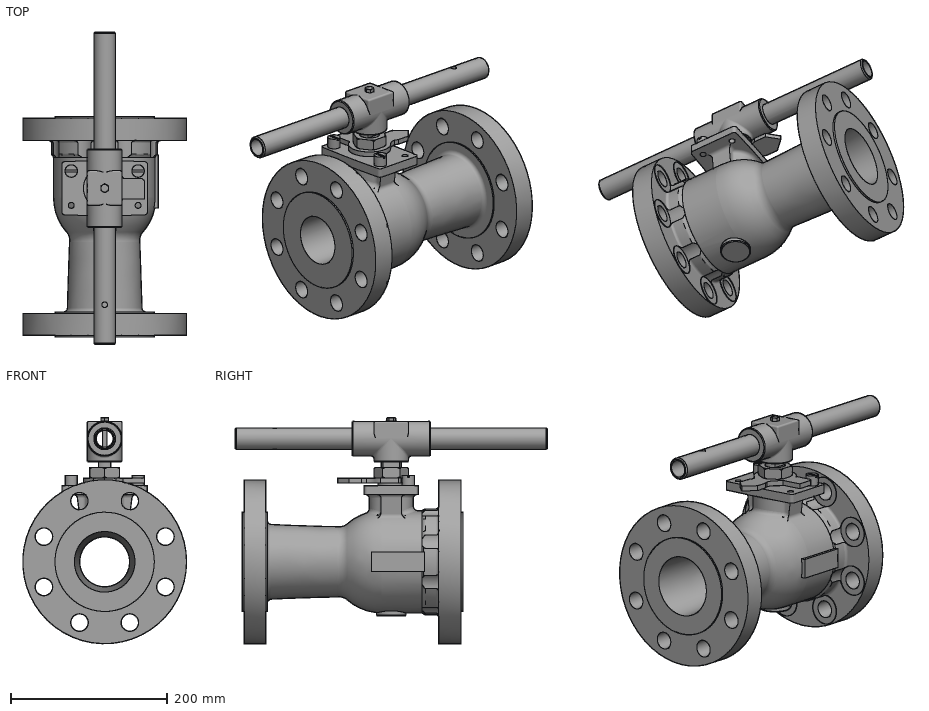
import cadquery as cq
import math


selection_margin = 0.5

flange_radius = 210.0 / 2
raised_face_radius = 127.0 / 2
back_face_y = 92.0
back_flange_outer_y = 89.5
back_flange_inner_y = 61.0
front_face_y = -191.0
front_flange_outer_y = -188.5
front_flange_inner_y = -160.5
front_hub_face_y = -158.5
bolt_count = 8
bolt_circle_radius = 168.5 / 2
bolt_hole_diameter = 22.0
spotface_diameter = 38.5
spotface_depth = 1.0
port_diameter = 63.5
front_bore_diameter = 77.5
bore_taper_end_y = -56.0

shell_radius = 65.5
shell_front_y = -12.5
collar_radius = 68.0
collar_root_fillet = 3.0
collar_round_start_y = 44.0
collar_round_end = (67.0, 41.5)
collar_end_y = 39.0
ball_end_y = -56.0
throat_radius = 45.0
throat_y = -69.0
pipe_end_radius = 48.0
pipe_root_fillet = 5.0
side_pad_x = 69.0
side_pad_half_height = 12.5
side_pad_back_y = 43.0
side_pad_front_y = -25.5
bottom_boss_diameter = 38.5
bottom_boss_z = -69.0
bottom_boss_chamfer = 1.0

neck_radius = 28.5
neck_top_fillet = 5.0
neck_root_fillet = 5.5
plate_bottom_z = 86.0
plate_top_z = 97.5
plate_length = 109.5
plate_width = 68.0
plate_corner_radius = 4.0
plate_bow = 1.0
rib_top_half_length = 35.5
rib_bottom_half_length = 31.0
rib_bottom_z = 52.0
rib_width = 26.0
rib_fillet = 5.0
rib_root_top_z = 68.0
packing_boss_diameter = 34.0
stop_plate_bottom_z = 101.0
screw_x = 43.0
screw_y = 22.0
mount_hole_diameter = 7.5

stem_diameter = 26.0
stem_flat_width = 16.0
stem_top_z = 136.0
stop_plate_top_z = 107.0
stop_disc_radius = 27.0
nut_top_z = 121.0
nut_across_flats = 38.5
nut_chamfer = 1.5
screw_head_diameter = 16.0
screw_head_top_z = 111.0
slot_width = 2.5
slot_depth = 2.5

handle_z = 157.5
hub_diameter = 45.0
hub_length = 100.0
hub_bottom_z = 128.0
hub_chamfer = 1.0
hub_block_round = 2.5
hub_crotch_fillet = 3.0
ridge_half_width = 1.5
bar_length = 400.0
bar_diameter = 28.0
bar_bore_diameter = 21.5
bar_chamfer = 1.5
bar_pin_hole_diameter = 7.0
bar_pin_hole_y = -149.0
bolt_shank_diameter = 6.0
bolt_head_flats = 10.0
bolt_head_chamfer = 1.0
overall_height = 289.5
bolt_head_top_z = overall_height - flange_radius


def cylinder_z(diameter, bottom, top, x=0, y=0):
    return cq.Workplane("XY", origin=(x, y, bottom)).circle(diameter / 2).extrude(top - bottom)


def cylinder_y(diameter, front, back, x=0, z=0):
    return cq.Workplane("XZ", origin=(x, front, z)).circle(diameter / 2).extrude(front - back)


def box_z(length, width, bottom, top):
    return cq.Workplane("XY", origin=(0, 0, bottom)).rect(length, width).extrude(top - bottom)


def hexagon_z(across_flats, bottom, top, chamfered_ends, chamfer):
    """Hexagonal prism with two corners on the Y axis and its corners bevelled at the given ends."""
    across_corners = across_flats / math.cos(math.pi / 6)
    prism = cq.Workplane("XY").polygon(6, across_corners).extrude(top - bottom)
    prism = prism.rotate((0, 0, 0), (0, 0, 1), 30).translate((0, 0, bottom))
    bevelled_round = cylinder_z(across_corners, bottom, top).faces(chamfered_ends).chamfer(chamfer)
    return prism.intersect(bevelled_round)


def make_shell():
    ball_reach = shell_front_y - ball_end_y
    ball_end_radius = math.sqrt(shell_radius**2 - ball_reach**2)
    ball_half_angle = math.asin(ball_reach / shell_radius) / 2
    ball_mid = shell_radius * math.cos(ball_half_angle)
    ball_mid_y = shell_front_y - shell_radius * math.sin(ball_half_angle)
    return (
        cq.Workplane("XY")
        .moveTo(0, back_face_y)
        .lineTo(raised_face_radius, back_face_y)
        .lineTo(raised_face_radius, back_flange_outer_y)
        .lineTo(flange_radius, back_flange_outer_y)
        .lineTo(flange_radius, back_flange_inner_y)
        .lineTo(collar_radius + collar_root_fillet, back_flange_inner_y)
        .tangentArcPoint((collar_radius, back_flange_inner_y - collar_root_fillet), relative=False)
        .lineTo(collar_radius, collar_round_start_y)
        .tangentArcPoint(collar_round_end, relative=False)
        .lineTo(shell_radius, collar_end_y)
        .lineTo(shell_radius, shell_front_y)
        .threePointArc((ball_mid, ball_mid_y), (ball_end_radius, ball_end_y))
        .tangentArcPoint((throat_radius, throat_y), relative=False)
        .lineTo(pipe_end_radius, front_hub_face_y + pipe_root_fillet)
        .tangentArcPoint((pipe_end_radius + pipe_root_fillet, front_hub_face_y), relative=False)
        .lineTo(raised_face_radius, front_hub_face_y)
        .lineTo(raised_face_radius, front_flange_inner_y)
        .lineTo(flange_radius, front_flange_inner_y)
        .lineTo(flange_radius, front_flange_outer_y)
        .lineTo(raised_face_radius, front_flange_outer_y)
        .lineTo(raised_face_radius, front_face_y)
        .lineTo(0, front_face_y)
        .close()
        .revolve(360, (0, 0, 0), (0, 1, 0))
    )


def make_mounting_plate():
    x = plate_length / 2
    y = plate_width / 2
    return (
        cq.Workplane("XY", origin=(0, 0, plate_bottom_z))
        .moveTo(-x, -y)
        .threePointArc((0, -y - plate_bow), (x, -y))
        .lineTo(x, y)
        .threePointArc((0, y + plate_bow), (-x, y))
        .close()
        .extrude(plate_top_z - plate_bottom_z)
        .edges("|Z")
        .fillet(plate_corner_radius)
    )


def neck_edges(bottom, top):
    """Selector for edges lying wholly around the ribbed neck between two heights."""
    x = rib_top_half_length + selection_margin
    y = neck_radius + selection_margin
    return cq.selectors.BoxSelector(
        (-x, -y, bottom - selection_margin), (x, y, top + selection_margin), boundingbox=True
    )


def make_plated_neck():
    """Round neck with a tapered rib towards +X and -X, under the mounting plate."""
    ribs = (
        cq.Workplane("XZ")
        .moveTo(-rib_top_half_length, plate_bottom_z)
        .lineTo(rib_top_half_length, plate_bottom_z)
        .lineTo(rib_bottom_half_length, rib_bottom_z)
        .lineTo(-rib_bottom_half_length, rib_bottom_z)
        .close()
        .extrude(rib_width / 2, both=True)
    )
    neck = cylinder_z(2 * neck_radius, rib_bottom_z, plate_bottom_z).union(ribs)
    neck = neck.edges("|Z").edges(neck_edges(rib_bottom_z, plate_bottom_z)).fillet(rib_fillet)
    neck = neck.union(make_mounting_plate())
    return neck.edges(neck_edges(plate_bottom_z, plate_bottom_z)).fillet(neck_top_fillet)


def make_bore():
    end_radius = front_bore_diameter / 2
    port_radius = port_diameter / 2
    return (
        cq.Workplane("XY")
        .moveTo(0, front_face_y)
        .lineTo(end_radius, front_face_y)
        .lineTo(port_radius, bore_taper_end_y)
        .lineTo(port_radius, back_face_y)
        .lineTo(0, back_face_y)
        .close()
        .revolve(360, (0, 0, 0), (0, 1, 0))
    )


def make_housing():
    housing = make_shell().union(make_plated_neck())
    housing = housing.edges(neck_edges(rib_bottom_z, rib_root_top_z)).fillet(neck_root_fillet)

    side_pad = (
        cq.Workplane("XY")
        .box(side_pad_x, side_pad_back_y - side_pad_front_y, 2 * side_pad_half_height)
        .translate((side_pad_x / 2, (side_pad_back_y + side_pad_front_y) / 2, 0))
    )
    bottom_boss = cylinder_z(bottom_boss_diameter, bottom_boss_z, 0)
    bottom_boss = bottom_boss.faces("<Z").chamfer(bottom_boss_chamfer)
    packing_boss = cylinder_z(packing_boss_diameter, plate_top_z, stop_plate_bottom_z)
    housing = housing.union(side_pad).union(bottom_boss).union(packing_boss)

    for i in range(bolt_count):
        angle = (i + 0.5) * 2 * math.pi / bolt_count
        x = bolt_circle_radius * math.cos(angle)
        z = bolt_circle_radius * math.sin(angle)
        for front, back in ((front_face_y, front_hub_face_y), (back_flange_inner_y, back_face_y)):
            housing = housing.cut(cylinder_y(bolt_hole_diameter, front, back, x, z))
        spotface_y = back_flange_inner_y + spotface_depth
        housing = housing.cut(cylinder_y(spotface_diameter, collar_end_y, spotface_y, x, z))
    for x in (-screw_x, screw_x):
        for y in (-screw_y, screw_y):
            housing = housing.cut(cylinder_z(mount_hole_diameter, plate_bottom_z, plate_top_z, x, y))
    stem_hole = cylinder_z(stem_diameter, plate_bottom_z, stop_plate_bottom_z)
    return housing.cut(make_bore()).cut(stem_hole)


def make_stem_flats():
    """Upper part of the stem: a round bar with two flats facing +X and -X."""
    round_part = cylinder_z(stem_diameter, nut_top_z, stem_top_z)
    return round_part.intersect(box_z(stem_flat_width, stem_diameter, nut_top_z, stem_top_z))


def make_stem():
    return cylinder_z(stem_diameter, plate_bottom_z, nut_top_z).union(make_stem_flats())


def make_stop_plate():
    tip_half_width = 14.5
    tip_y = -69.0
    tip_shoulder_y = tip_y + tip_half_width
    waist_corner_y = -38.0
    waist = (12.5, -32.0)
    waist_bend = (13.5, -26.5)
    root_x = 18.0
    root = (root_x, -math.sqrt(stop_disc_radius**2 - root_x**2))
    tip = (
        cq.Workplane("XY", origin=(0, 0, stop_plate_bottom_z))
        .moveTo(-root[0], root[1])
        .threePointArc((-waist_bend[0], waist_bend[1]), (-waist[0], waist[1]))
        .lineTo(-tip_half_width, waist_corner_y)
        .lineTo(-tip_half_width, tip_shoulder_y)
        .lineTo(0, tip_y)
        .lineTo(tip_half_width, tip_shoulder_y)
        .lineTo(tip_half_width, waist_corner_y)
        .lineTo(*waist)
        .threePointArc(waist_bend, root)
        .close()
        .extrude(stop_plate_top_z - stop_plate_bottom_z)
    )
    arm_end_x = 51.0
    arm_front_y = -13.5
    arm_back_y = 12.5
    arm_chamfer = 3.0
    arm = (
        cq.Workplane("XY", origin=(0, 0, stop_plate_bottom_z))
        .moveTo(0, arm_front_y)
        .lineTo(arm_end_x, arm_front_y)
        .lineTo(arm_end_x, arm_back_y - arm_chamfer)
        .lineTo(arm_end_x - arm_chamfer, arm_back_y)
        .lineTo(0, arm_back_y)
        .close()
        .extrude(stop_plate_top_z - stop_plate_bottom_z)
    )
    disc = cylinder_z(2 * stop_disc_radius, stop_plate_bottom_z, stop_plate_top_z)
    stem_hole = cylinder_z(stem_diameter, stop_plate_bottom_z, stop_plate_top_z)
    return disc.union(arm).union(tip).cut(stem_hole)


def make_nut():
    nut = hexagon_z(nut_across_flats, stop_plate_top_z, nut_top_z, "<Z or >Z", nut_chamfer)
    return nut.cut(cylinder_z(stem_diameter, stop_plate_top_z, nut_top_z))


def make_stop_screw(x):
    head = cylinder_z(screw_head_diameter, plate_top_z, screw_head_top_z)
    slot = box_z(screw_head_diameter, slot_width, screw_head_top_z - slot_depth, screw_head_top_z)
    shank = cylinder_z(mount_hole_diameter, plate_bottom_z, plate_top_z)
    return head.cut(slot).union(shank).translate((x, screw_y, 0))


def make_hub():
    hub_radius = hub_diameter / 2
    sleeve = cylinder_y(hub_diameter, -hub_length / 2, hub_length / 2, z=handle_z)
    socket_boss = cylinder_z(hub_diameter, hub_bottom_z, handle_z)
    crotch = cq.selectors.BoxSelector(
        (-hub_diameter, -hub_radius - selection_margin, handle_z - hub_radius - selection_margin),
        (hub_diameter, hub_radius + selection_margin, handle_z + selection_margin),
        boundingbox=True,
    )
    hub = sleeve.union(socket_boss).edges(crotch).fillet(hub_crotch_fillet)
    hub = hub.faces("<Y or >Y or <Z").chamfer(hub_chamfer)
    block_top_z = handle_z + math.sqrt(hub_radius**2 - ridge_half_width**2)
    block = box_z(hub_diameter, hub_diameter, handle_z, block_top_z)
    block = block.edges("|Z or >Z").fillet(hub_block_round)
    hub = hub.union(block)
    hub = hub.cut(cylinder_y(bar_diameter, -hub_length / 2, hub_length / 2, z=handle_z))
    bolt_hole = cylinder_z(bolt_shank_diameter, stem_top_z, handle_z + hub_radius)
    return hub.cut(bolt_hole).cut(make_stem_flats())


def make_bar():
    bar = cylinder_y(bar_diameter, -bar_length / 2, bar_length / 2, z=handle_z)
    bar = bar.faces("<Y or >Y").chamfer(bar_chamfer)
    bar = bar.cut(cylinder_y(bar_bore_diameter, -bar_length / 2, bar_length / 2, z=handle_z))
    hole_bottom_z = handle_z - bar_diameter
    hole_top_z = handle_z + bar_diameter
    bar = bar.cut(cylinder_z(bolt_shank_diameter, hole_bottom_z, hole_top_z))
    return bar.cut(cylinder_z(bar_pin_hole_diameter, hole_bottom_z, hole_top_z, y=bar_pin_hole_y))


def make_hub_bolt():
    head_bottom_z = handle_z + hub_diameter / 2
    head = hexagon_z(bolt_head_flats, head_bottom_z, bolt_head_top_z, ">Z", bolt_head_chamfer)
    return head.union(cylinder_z(bolt_shank_diameter, stem_top_z, head_bottom_z))


housing = make_housing()
stem = make_stem()
stop_plate = make_stop_plate()
nut = make_nut()
stop_screws = [make_stop_screw(x).val() for x in (-screw_x, screw_x)]
hub = make_hub()
bar = make_bar()
hub_bolt = make_hub_bolt()

result = cq.Compound.makeCompound(
    [
        housing.val(),
        stem.val(),
        stop_plate.val(),
        nut.val(),
        *stop_screws,
        hub.val(),
        bar.val(),
        hub_bolt.val(),
    ]
)